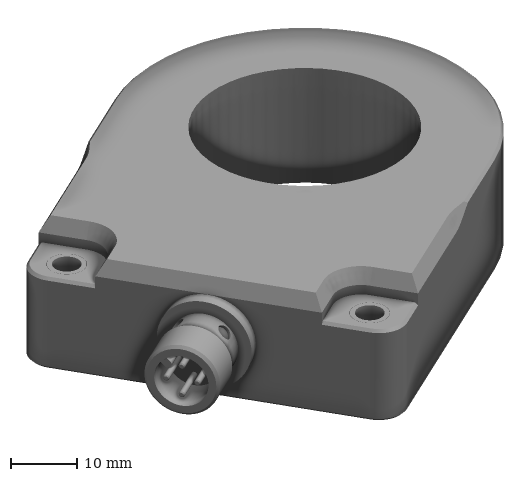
import cadquery as cq
import math


HEIGHT = 20.0
WIDTH = 60.0
HALF_WIDTH = WIDTH / 2
BORE_DIAMETER = 35.1
FRONT_Y = -47.95
CORNER_RADIUS = 4.5
EDGE_CHAMFER = 0.5

SHOULDER_Z = 17.6
SHOULDER_HEIGHT = HEIGHT - SHOULDER_Z
SHOULDER_ANGLE = 30.0
RUNOUT_Y = -19.0
RUNOUT_RADIUS = 10.1
RUNOUT_ANGLE = 15.0
CLEARANCE = 4.6

PAD_Z = 15.9
PAD_LENGTH_X = 12.1
PAD_LENGTH_Y = 9.9
PAD_INNER_RADIUS = 4.5

SLEEVE_X = 24.0
SLEEVE_Y = -43.1
SLEEVE_DIAMETER = 6.0
SLEEVE_HOLE_DIAMETER = 6.1
SLEEVE_BORE_DIAMETER = 4.5

CONNECTOR_Z = HEIGHT / 2
FLANGE_DIAMETER = 15.0
FLANGE_THICKNESS = 2.2
FLANGE_FLAT_DISTANCE = 6.8
NECK_DIAMETER = 10.8
NECK_LENGTH = 4.4
BARREL_DIAMETER = 12.0
BARREL_LENGTH = 6.95
BARREL_CHAMFER = 0.5
SOCKET_DIAMETER = 8.6
SOCKET_DEPTH = 6.4

NECK_HOLE_DIAMETER = 2.5
NECK_HOLE_FLOOR_DIAMETER = 9.8
NECK_HOLE_OFFSET = 1.65
NECK_HOLE_COUNT = 4
PIN_DIAMETER = 1.0
PIN_CIRCLE_RADIUS = 2.5
PIN_RECESS = 0.1
PIN_TIP_CHAMFER = 0.2
PIN_COUNT = 4
KEY_WIDTH = 1.3
KEY_TIP_RADIUS = 2.65
KEY_ANGLE = 135.0
KEY_SETBACK = 0.5

FLANGE_END = FLANGE_THICKNESS
NECK_END = FLANGE_END + NECK_LENGTH
BARREL_END = NECK_END + BARREL_LENGTH
SOCKET_FLOOR = BARREL_END - SOCKET_DEPTH


def base_block():
    """Round-ended plate with rounded front corners and chamfered rims."""
    block = (
        cq.Workplane("XY")
        .moveTo(HALF_WIDTH, 0)
        .threePointArc((0, HALF_WIDTH), (-HALF_WIDTH, 0))
        .lineTo(-HALF_WIDTH, FRONT_Y)
        .lineTo(HALF_WIDTH, FRONT_Y)
        .close()
        .extrude(HEIGHT)
    )
    block = block.edges("|Z and <Y").fillet(CORNER_RADIUS)
    return block.faces("<Z or >Z").chamfer(EDGE_CHAMFER)


def upper_outline(plane):
    """Outline of the raised top, with two corner notches and side run-outs."""
    angle = math.radians(RUNOUT_ANGLE)
    notch_x = HALF_WIDTH - PAD_LENGTH_X
    notch_y = FRONT_Y + PAD_LENGTH_Y
    arc_x = notch_x + PAD_INNER_RADIUS
    arc_y = notch_y - PAD_INNER_RADIUS
    arc_reach = PAD_INNER_RADIUS * math.sqrt(0.5)
    arc_middle_x = arc_x - arc_reach
    arc_middle_y = arc_y + arc_reach

    def runout_point(turn):
        x = HALF_WIDTH + RUNOUT_RADIUS * (1 - math.cos(turn))
        y = RUNOUT_Y + RUNOUT_RADIUS * math.sin(turn)
        return x, y

    middle_x, middle_y = runout_point(angle / 2)
    end_x, end_y = runout_point(angle)
    outer_x = HALF_WIDTH + CLEARANCE
    outer_y = end_y + (outer_x - end_x) / math.tan(angle)
    back_y = HALF_WIDTH + CLEARANCE
    return (
        plane.moveTo(-notch_x, FRONT_Y)
        .lineTo(notch_x, FRONT_Y)
        .lineTo(notch_x, arc_y)
        .threePointArc((arc_middle_x, arc_middle_y), (arc_x, notch_y))
        .lineTo(HALF_WIDTH, notch_y)
        .lineTo(HALF_WIDTH, RUNOUT_Y)
        .threePointArc((middle_x, middle_y), (end_x, end_y))
        .lineTo(outer_x, outer_y)
        .lineTo(outer_x, back_y)
        .lineTo(-outer_x, back_y)
        .lineTo(-outer_x, outer_y)
        .lineTo(-end_x, end_y)
        .threePointArc((-middle_x, middle_y), (-HALF_WIDTH, RUNOUT_Y))
        .lineTo(-HALF_WIDTH, notch_y)
        .lineTo(-arc_x, notch_y)
        .threePointArc((-arc_middle_x, arc_middle_y), (-notch_x, arc_y))
        .close()
    )


def upper_envelope():
    """Upright notch walls below the shoulder and sloped walls above it."""
    upright = upper_outline(cq.Workplane("XY")).extrude(SHOULDER_Z)
    sloped_base = upper_outline(cq.Workplane("XY").workplane(offset=SHOULDER_Z))
    sloped = sloped_base.extrude(SHOULDER_HEIGHT, taper=SHOULDER_ANGLE)
    return upright.union(sloped)


def corner_pads():
    """Low corner blocks that fill the notches up to the pad height."""
    low_block = (
        cq.Workplane("XY")
        .rect(WIDTH, 2 * -FRONT_Y)
        .extrude(PAD_Z)
        .edges("|Z")
        .fillet(CORNER_RADIUS)
        .faces("<Z or >Z")
        .chamfer(EDGE_CHAMFER)
    )
    pad_area = (
        cq.Workplane("XY")
        .pushPoints([(side * HALF_WIDTH, FRONT_Y) for side in (-1, 1)])
        .rect(2 * PAD_LENGTH_X, 2 * PAD_LENGTH_Y)
        .extrude(PAD_Z)
    )
    return low_block.intersect(pad_area)


def rod(diameter, start, end, x=0.0, z=0.0):
    """Cylinder along the connector axis between two distances from the housing."""
    plane = cq.Workplane("XZ", origin=(x, FRONT_Y - start, CONNECTOR_Z + z))
    return plane.circle(diameter / 2).extrude(end - start)


def neck_recesses():
    """Round side recesses, ending on a cylinder inside the neck."""
    recesses = cq.Workplane("XY")
    hole_y = FRONT_Y - FLANGE_END - NECK_HOLE_OFFSET
    for index in range(NECK_HOLE_COUNT):
        angle = math.radians((index + 0.5) * 360 / NECK_HOLE_COUNT)
        direction = cq.Vector(math.cos(angle), 0, math.sin(angle))
        hole = cq.Solid.makeCylinder(
            NECK_HOLE_DIAMETER / 2, NECK_DIAMETER, cq.Vector(0, hole_y, CONNECTOR_Z), direction
        )
        recesses = recesses.add(hole)
    return recesses.combine().cut(rod(NECK_HOLE_FLOOR_DIAMETER, 0, BARREL_END))


def socket_key():
    """Round-nosed rib on the socket wall."""
    nose_center = KEY_TIP_RADIUS + KEY_WIDTH / 2
    wall_overlap = (SOCKET_DIAMETER + BARREL_DIAMETER) / 4
    rib_length = wall_overlap - nose_center
    plane = cq.Workplane("XZ", origin=(0, FRONT_Y - SOCKET_FLOOR, CONNECTOR_Z))
    rib = plane.center(nose_center + rib_length / 2, 0).rect(rib_length, KEY_WIDTH)
    rib = rib.extrude(SOCKET_DEPTH - KEY_SETBACK)
    nose = rod(KEY_WIDTH, SOCKET_FLOOR, BARREL_END - KEY_SETBACK, x=nose_center)
    key = rib.union(nose)
    return key.rotate((0, 0, CONNECTOR_Z), (0, -1, CONNECTOR_Z), KEY_ANGLE)


def add_connector(body):
    """Add the flange, neck and barrel with its socket, key and contact pins."""
    flange = rod(FLANGE_DIAMETER, 0, FLANGE_END)
    keep_height = FLANGE_DIAMETER / 2 + FLANGE_FLAT_DISTANCE
    flange_keep = cq.Workplane("XY", origin=(0, FRONT_Y, CONNECTOR_Z - FLANGE_FLAT_DISTANCE)).box(
        FLANGE_DIAMETER, 2 * FLANGE_THICKNESS, keep_height, centered=(True, True, False)
    )
    flange = flange.intersect(flange_keep)
    neck = rod(NECK_DIAMETER, 0, NECK_END).cut(neck_recesses())
    barrel = rod(BARREL_DIAMETER, NECK_END, BARREL_END).faces("<Y or >Y").chamfer(BARREL_CHAMFER)
    body = body.union(flange).union(neck).union(barrel)
    body = body.cut(rod(SOCKET_DIAMETER, SOCKET_FLOOR, BARREL_END))
    body = body.union(socket_key())
    for index in range(PIN_COUNT):
        angle = math.radians(index * 360 / PIN_COUNT)
        x = PIN_CIRCLE_RADIUS * math.cos(angle)
        z = PIN_CIRCLE_RADIUS * math.sin(angle)
        pin = rod(PIN_DIAMETER, SOCKET_FLOOR, BARREL_END - PIN_RECESS, x, z)
        body = body.union(pin.faces("<Y").chamfer(PIN_TIP_CHAMFER))
    return body


def make_housing():
    body = base_block().intersect(upper_envelope()).union(corner_pads())
    body = body.cut(cq.Workplane("XY").circle(BORE_DIAMETER / 2).extrude(HEIGHT))
    for side in (-1, 1):
        hole = cq.Workplane("XY").center(side * SLEEVE_X, SLEEVE_Y)
        body = body.cut(hole.circle(SLEEVE_HOLE_DIAMETER / 2).extrude(HEIGHT))
    return add_connector(body)


def make_sleeve(side):
    """Straight sleeve through the housing, flush with the pad."""
    plane = cq.Workplane("XY").center(side * SLEEVE_X, SLEEVE_Y)
    return plane.circle(SLEEVE_DIAMETER / 2).circle(SLEEVE_BORE_DIAMETER / 2).extrude(PAD_Z)


housing = make_housing()
sleeves = [make_sleeve(side) for side in (-1, 1)]

result = cq.Compound.makeCompound([housing.val(), *[sleeve.val() for sleeve in sleeves]])